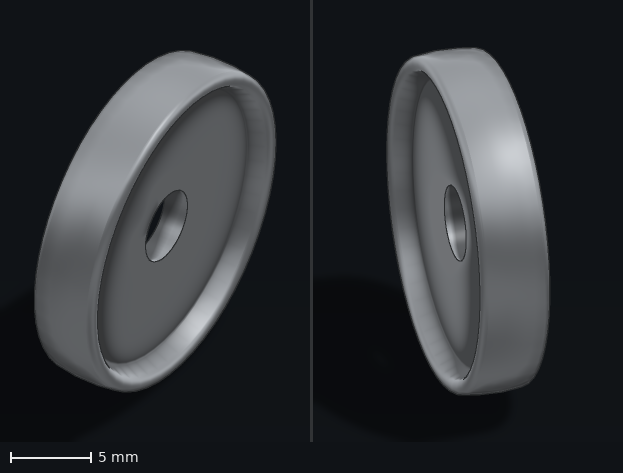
import cadquery as cq
import math

outer_radius = 10.85
width = 4.5
web_thickness = 1.7
bore_radius = 2.38
floor_radius = 9.1
lip_radius = 0.5
foot_radius = 0.2

half_width = width / 2
half_web = web_thickness / 2

lip_x = half_width - lip_radius
lip_r = math.sqrt((outer_radius - lip_radius) ** 2 - lip_x ** 2)
crown_angle = math.atan2(lip_r, lip_x)

foot_x = half_web + foot_radius
foot_r = floor_radius

center_dx = lip_x - foot_x
center_dr = lip_r - foot_r
center_distance = math.hypot(center_dx, center_dr)
tangent_offset = math.acos((lip_radius + foot_radius) / center_distance)
wall_angle = math.atan2(center_dr, center_dx) + tangent_offset


def arc_point(x, r, radius, angle):
    """Point on a circle in the axial (x, r) section plane."""
    return (x + radius * math.cos(angle), r + radius * math.sin(angle))


def mirrored(point):
    """The same section point on the opposite side of the wheel."""
    return (-point[0], point[1])


floor_end = (half_web, foot_r)
foot_middle = arc_point(foot_x, foot_r, foot_radius, (wall_angle + math.pi) / 2)
wall_inner = arc_point(foot_x, foot_r, foot_radius, wall_angle)
wall_outer = arc_point(lip_x, lip_r, lip_radius, wall_angle - math.pi)
lip_tip = (half_width, lip_r)
crown_edge = arc_point(0, 0, outer_radius, crown_angle)
crown_middle = arc_point(0, 0, outer_radius, (crown_angle + math.pi / 2) / 2)
crown_top = (0, outer_radius)

section = (
    cq.Workplane("XY")
    .moveTo(-half_web, bore_radius)
    .lineTo(half_web, bore_radius)
    .lineTo(*floor_end)
    .threePointArc(foot_middle, wall_inner)
    .lineTo(*wall_outer)
    .threePointArc(lip_tip, crown_edge)
    .threePointArc(crown_middle, crown_top)
    .threePointArc(mirrored(crown_middle), mirrored(crown_edge))
    .threePointArc(mirrored(lip_tip), mirrored(wall_outer))
    .lineTo(*mirrored(wall_inner))
    .threePointArc(mirrored(foot_middle), mirrored(floor_end))
    .close()
)

result = section.revolve(360, (0, 0, 0), (1, 0, 0))